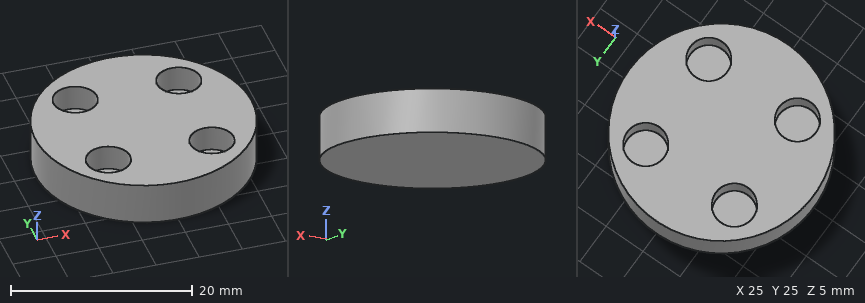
import cadquery as cq

disc_diameter = 25.0
disc_thickness = 5.0

hole_diameter = 5.0
hole_depth = 3.0
hole_spacing = 12.0

disc = cq.Workplane("XY").circle(disc_diameter / 2).extrude(disc_thickness)

result = (
    disc.faces(">Z")
    .workplane()
    .rarray(hole_spacing, hole_spacing, 2, 2)
    .hole(hole_diameter, hole_depth)
)